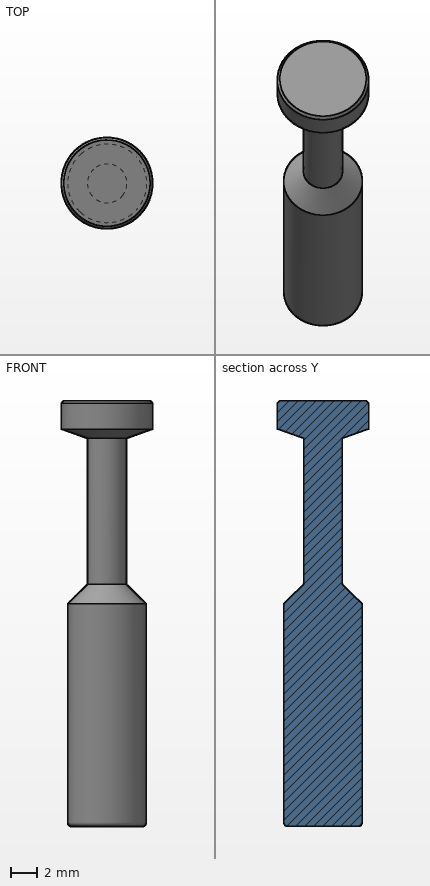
import cadquery as cq
import math

total_height = 32.5
head_diameter = 7.0
neck_diameter = 3.0
body_diameter = 6.0

body_height = 17.0
shoulder_height = 1.5
head_thickness = 2.18
head_cone_height = 0.7

head_chamfer = 0.2
foot_round = 0.32

head_radius = head_diameter / 2
neck_radius = neck_diameter / 2
body_radius = body_diameter / 2
neck_bottom = body_height + shoulder_height
head_bottom = total_height - head_thickness
neck_top = head_bottom - head_cone_height

foot_arc_offset = foot_round * (1 - math.sqrt(0.5))

profile = (
    cq.Workplane("XZ")
    .lineTo(body_radius - foot_round, 0)
    .threePointArc((body_radius - foot_arc_offset, foot_arc_offset), (body_radius, foot_round))
    .lineTo(body_radius, body_height)
    .lineTo(neck_radius, neck_bottom)
    .lineTo(neck_radius, neck_top)
    .lineTo(head_radius, head_bottom)
    .lineTo(head_radius, total_height - head_chamfer)
    .lineTo(head_radius - head_chamfer, total_height)
    .lineTo(0, total_height)
    .close()
)

result = profile.revolve(360, (0, 0, 0), (0, 1, 0))